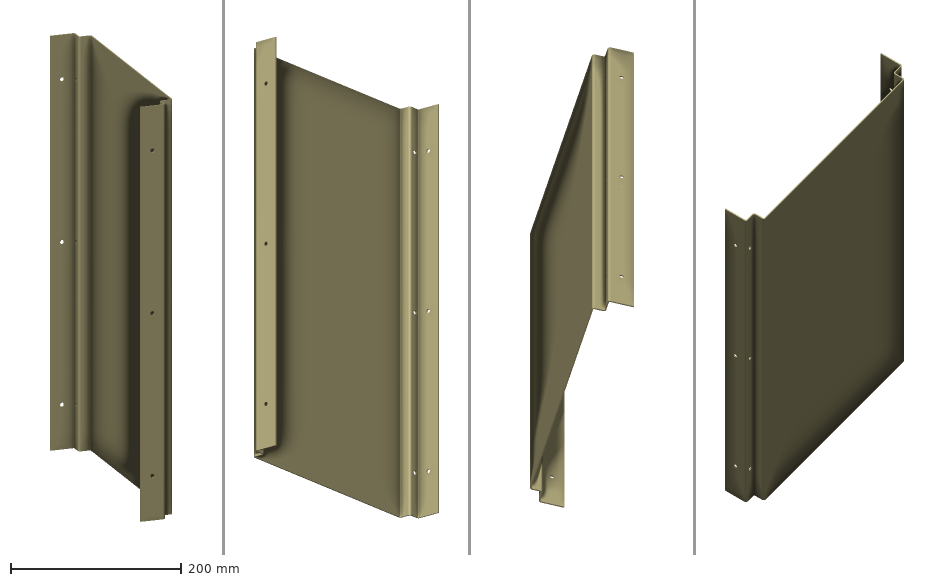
import cadquery as cq

sheet = 1.5
inner_bend = 1.5
outer_bend = inner_bend + sheet

width = 303.0
depth = 46.5
height = 510.0

step = 15.0

hole_diameter = 5.0
hole_pitch = 200.0
hole_heights = (-hole_pitch, 0, hole_pitch)
side_hole_setback = 15.0

side_x = width / 2
wall_x = side_x - step
panel_y = depth / 2
flange_y = panel_y - step
front_y = -depth / 2

flange_hole_x = (side_x + wall_x) / 2
side_hole_y = front_y + side_hole_setback


def full_height_block(half_width, back_y):
    """Block centred on X, running from the open front to back_y."""
    return cq.Workplane("XY").box(2 * half_width, back_y - front_y, height).translate(
        (0, (back_y + front_y) / 2, 0)
    )


def round_corners(block, x, y, radius):
    """Round the vertical edges at (-x, y) and (x, y)."""
    reach = sheet / 4
    for corner_x in (-x, x):
        near_corner = cq.selectors.BoxSelector(
            (corner_x - reach, y - reach, -height),
            (corner_x + reach, y + reach, height),
        )
        block = block.edges(near_corner).fillet(radius)
    return block


def stepped_block(inset, convex_radius, concave_radius):
    """Solid stepped section, its back and side faces moved inward by inset."""
    side = side_x - inset
    wall = wall_x - inset
    panel = panel_y - inset
    flange = flange_y - inset
    block = full_height_block(side, flange).union(full_height_block(wall, panel))
    block = round_corners(block, wall, flange, concave_radius)
    block = round_corners(block, wall, panel, convex_radius)
    return round_corners(block, side, flange, convex_radius)


def bent_sheet():
    """Constant-thickness sheet left between the outer and inner stepped blocks."""
    outside = stepped_block(0, outer_bend, inner_bend)
    inside = stepped_block(sheet, inner_bend, outer_bend)
    return outside.cut(inside)


def flange_holes():
    """Cutters along Y through both flanges."""
    centers = [(x, z) for x in (-flange_hole_x, flange_hole_x) for z in hole_heights]
    return cq.Workplane("XZ").pushPoints(centers).circle(hole_diameter / 2).extrude(depth, both=True)


def side_holes():
    """Cutters along X through both sides."""
    centers = [(side_hole_y, z) for z in hole_heights]
    return cq.Workplane("YZ").pushPoints(centers).circle(hole_diameter / 2).extrude(width, both=True)


result = bent_sheet().cut(flange_holes()).cut(side_holes())